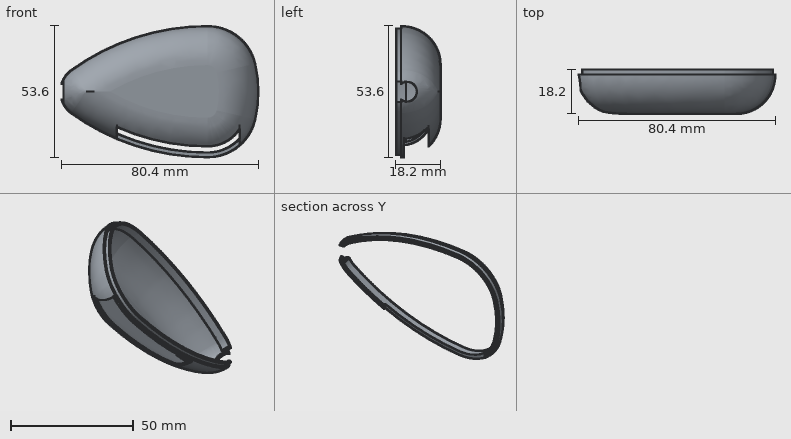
import cadquery as cq
import math

WIDTH = 53.6
HALF_WIDTH = WIDTH / 2
SIDE_RADIUS = 94.85
CORNER_RADIUS = 20.0
END_RADIUS = 50.0
NOSE_RADIUS = 10.85

BODY_HEIGHT = 16.2
EDGE_RADIUS = 16.1
WALL = 1.0

LIP_DROP = 2.0
LIP_RISE = 1.9
LIP_THICKNESS = 1.05
LIP_HEIGHT = LIP_DROP + LIP_RISE

CABLE_RADIUS = 4.0
CABLE_HEIGHT = 2.4
LIP_GAP = 8.5
CABLE_CUT_LENGTH = 16.1

WINDOW_START = -37.0
WINDOW_END = 13.1
WINDOW_BOTTOM = 1.1
WINDOW_TOP = 11.25

SIDE_CENTER = HALF_WIDTH - SIDE_RADIUS
CORNER_CENTER = HALF_WIDTH - CORNER_RADIUS
END_CENTER = -math.sqrt((END_RADIUS - CORNER_RADIUS) ** 2 - CORNER_CENTER**2)
NOSE_CENTER = -math.sqrt((SIDE_RADIUS - NOSE_RADIUS) ** 2 - SIDE_CENTER**2)
END_ANGLE = math.degrees(math.atan2(CORNER_CENTER, -END_CENTER))
NOSE_ANGLE = math.degrees(math.atan2(-SIDE_CENTER, NOSE_CENTER))

NOSE_TIP = NOSE_CENTER - NOSE_RADIUS
CLIP_SIZE = 241.1


def sector(center, radius, start, end, height, edge_radius):
    """Wedge of a disc with a rounded top edge, turned from angle start to end."""
    shoulder = height - edge_radius
    round_width = min(edge_radius, radius)

    def round_point(inset):
        rise = math.sqrt(edge_radius**2 - (edge_radius - inset) ** 2)
        return radius - inset, shoulder + rise

    profile = cq.Workplane("XZ").lineTo(radius, 0)
    if edge_radius > 0:
        profile = profile.lineTo(radius, shoulder)
        profile = profile.threePointArc(round_point(round_width / 3), round_point(round_width))
    else:
        profile = profile.lineTo(radius, height)
    if round_width < radius:
        profile = profile.lineTo(0, height)
    wedge = profile.close().revolve(end - start, (0, 0), (0, -1))
    wedge = wedge.rotate((0, 0, 0), (0, 0, 1), end)
    return wedge.translate((*center, 0))


def teardrop(inset, height, edge_radius):
    """Teardrop solid standing on the rim plane, with its outline moved inward by inset."""
    size = (height, edge_radius)
    side = sector((0, SIDE_CENTER), SIDE_RADIUS - inset, 90, NOSE_ANGLE, *size)
    upper_half = cq.Workplane("XY").box(CLIP_SIZE, CLIP_SIZE, CLIP_SIZE, centered=(True, False, True))
    side = side.intersect(upper_half)
    corner = sector((0, CORNER_CENTER), CORNER_RADIUS - inset, END_ANGLE, 90, *size)
    end = sector((END_CENTER, 0), END_RADIUS - inset, -END_ANGLE, END_ANGLE, *size)
    nose = sector((NOSE_CENTER, 0), NOSE_RADIUS - inset, NOSE_ANGLE, 360 - NOSE_ANGLE, *size)
    half = side.union(corner)
    return half.union(half.mirror("XZ")).union(end).union(nose)


def shell():
    outer = teardrop(0, BODY_HEIGHT, EDGE_RADIUS)
    return outer.cut(teardrop(WALL, BODY_HEIGHT - WALL, EDGE_RADIUS - WALL))


def lip():
    ring = teardrop(WALL, LIP_HEIGHT, 0).cut(teardrop(WALL + LIP_THICKNESS, LIP_HEIGHT, 0))
    gap = cq.Workplane("XY").box(CABLE_CUT_LENGTH, LIP_GAP, LIP_HEIGHT, centered=(False, True, False))
    ring = ring.cut(gap.translate((NOSE_TIP, 0, 0)))
    return ring.translate((0, 0, -LIP_DROP))


def cable_opening():
    return (
        cq.Workplane("YZ", origin=(NOSE_TIP, 0, 0))
        .center(0, CABLE_HEIGHT)
        .circle(CABLE_RADIUS)
        .extrude(CABLE_CUT_LENGTH)
    )


def side_window():
    length = WINDOW_END - WINDOW_START
    height = WINDOW_TOP - WINDOW_BOTTOM
    window = cq.Workplane("XY").box(length, HALF_WIDTH, height, centered=False)
    return window.translate((WINDOW_START, -HALF_WIDTH, WINDOW_BOTTOM))


cover = shell().union(lip()).cut(cable_opening()).cut(side_window())

result = cover.rotate((0, 0, 0), (1, 0, 0), 90)